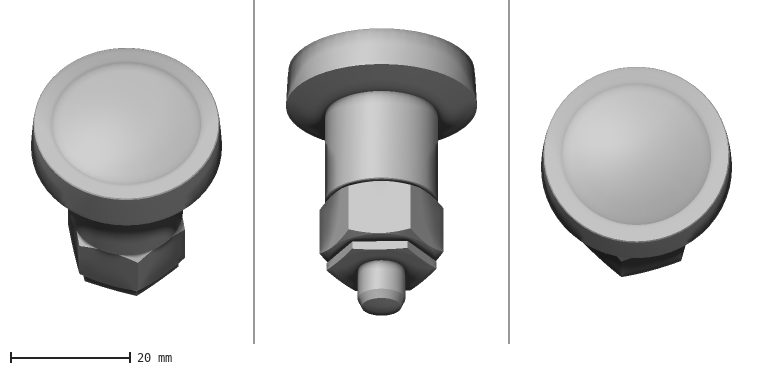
import cadquery as cq
import math

pin_crown_height = 0.65
pin_bevel_top = 2.1
lock_nut_bottom = 7.4
lock_nut_top = 9.0
hex_bottom = 9.95
sleeve_bottom = 20.0
knob_bottom = 36.35
rim_bottom = 38.15
knob_face = 45.15
overall_height = 47.5

pin_diameter = 8.0
pin_tip_diameter = 6.65
neck_diameter = 10.4

hex_flats = 18.0
lock_nut_flats = 16.0
hex_chamfer_slope = math.tan(math.radians(30))
lock_chamfer_slope = math.tan(math.radians(10))
chamfer_inset = 0.15
hex_top_inset = 0.45

sleeve_diameter = 19.0
sleeve_edge = 0.15
knob_diameter = 32.0
knob_face_diameter = 31.15
knob_side_bulge = 0.07
knob_edge = 0.2
rim_height = 0.55
crown_diameter = 25.0


def cylinder(diameter, bottom, top):
    return cq.Workplane("XY").workplane(offset=bottom).circle(diameter / 2).extrude(top - bottom)


def chamfered_hex(flats, bottom, top, slope, top_inset=None):
    """Hexagon with corners on X, chamfered below and, if top_inset is given, above."""
    corners = flats / math.cos(math.pi / 6)
    prism = cq.Workplane("XY").workplane(offset=bottom).polygon(6, corners).extrude(top - bottom)
    end_radius = flats / 2 - chamfer_inset
    corner_radius = corners / 2
    bottom_rise = (corner_radius - end_radius) * slope
    envelope = cq.Workplane("XZ").moveTo(0, bottom).lineTo(end_radius, bottom)
    envelope = envelope.lineTo(corner_radius, bottom + bottom_rise)
    if top_inset is None:
        envelope = envelope.lineTo(corner_radius, top)
    else:
        top_radius = flats / 2 - top_inset
        top_drop = (corner_radius - top_radius) * slope
        envelope = envelope.lineTo(corner_radius, top - top_drop).lineTo(top_radius, top)
    return prism.intersect(envelope.lineTo(0, top).close().revolve(360, (0, 0), (0, 1)))


def dome_arc_midpoint(radius, rise):
    """Radial position and height, above the dome base, halfway along its half arc."""
    sphere_radius = (radius**2 + rise**2) / (2 * rise)
    half_angle = math.asin(radius / sphere_radius) / 2
    return sphere_radius * math.sin(half_angle), rise - sphere_radius * (1 - math.cos(half_angle))


def make_pin():
    tip_radius = pin_tip_diameter / 2
    mid_radius, mid_rise = dome_arc_midpoint(tip_radius, pin_crown_height)
    return (
        cq.Workplane("XZ")
        .moveTo(0, 0)
        .threePointArc((mid_radius, pin_crown_height - mid_rise), (tip_radius, pin_crown_height))
        .lineTo(pin_diameter / 2, pin_bevel_top)
        .lineTo(pin_diameter / 2, lock_nut_top)
        .lineTo(0, lock_nut_top)
        .close()
        .revolve(360, (0, 0), (0, 1))
    )


def make_knob():
    rim_radius = knob_diameter / 2
    face_radius = knob_face_diameter / 2
    crown_radius = crown_diameter / 2
    rim_top = rim_bottom + rim_height
    side_top = knob_face - knob_edge
    side_middle = ((rim_radius + face_radius) / 2 + knob_side_bulge, (rim_top + side_top) / 2)
    mid_radius, mid_rise = dome_arc_midpoint(crown_radius, overall_height - knob_face)
    return (
        cq.Workplane("XZ")
        .moveTo(0, knob_bottom)
        .lineTo(sleeve_diameter / 2, knob_bottom)
        .lineTo(rim_radius, rim_bottom)
        .lineTo(rim_radius, rim_top)
        .threePointArc(side_middle, (face_radius, side_top))
        .lineTo(face_radius - knob_edge, knob_face)
        .lineTo(crown_radius, knob_face)
        .threePointArc((mid_radius, knob_face + mid_rise), (0, overall_height))
        .close()
        .revolve(360, (0, 0), (0, 1))
    )


pin = make_pin()
neck = cylinder(neck_diameter, lock_nut_top, hex_bottom)
lock_nut = chamfered_hex(lock_nut_flats, lock_nut_bottom, lock_nut_top, lock_chamfer_slope)
body_hex = chamfered_hex(hex_flats, hex_bottom, sleeve_bottom, hex_chamfer_slope, hex_top_inset)
sleeve = cylinder(sleeve_diameter, sleeve_bottom, knob_bottom).faces("<Z").edges().chamfer(sleeve_edge)

result = pin.union(lock_nut).union(neck).union(body_hex).union(sleeve).union(make_knob())